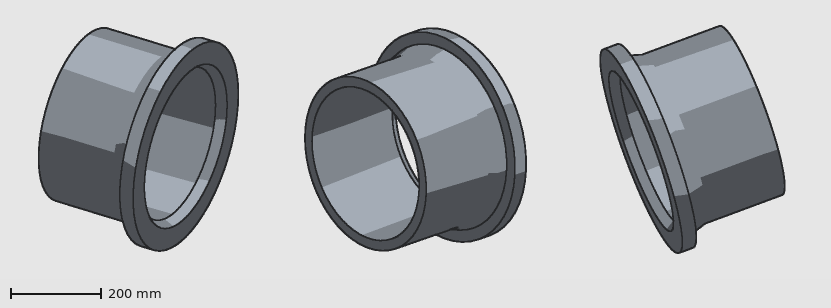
import cadquery as cq
import math

total_length = 262.0
flange_diameter = 482.0
flange_thickness = 33.5
pipe_diameter = 400.0
bore_diameter = 353.0
cone_length = 43.0
cone_end_diameter = 427.0

flare_length = 22.0
flare_half_angle = 30.0
flare_end_radius = bore_diameter / 2 + flare_length * math.tan(math.radians(flare_half_angle))

pipe_start = -total_length / 2
flange_end = total_length / 2
flange_start = flange_end - flange_thickness
cone_start = flange_start - cone_length
flare_start = flange_end - flare_length

half_section = (
    cq.Workplane("XY")
    .moveTo(pipe_start, bore_diameter / 2)
    .lineTo(pipe_start, pipe_diameter / 2)
    .lineTo(cone_start, pipe_diameter / 2)
    .lineTo(flange_start, cone_end_diameter / 2)
    .lineTo(flange_start, flange_diameter / 2)
    .lineTo(flange_end, flange_diameter / 2)
    .lineTo(flange_end, flare_end_radius)
    .lineTo(flare_start, bore_diameter / 2)
    .close()
)

result = half_section.revolve(360, (0, 0, 0), (1, 0, 0))